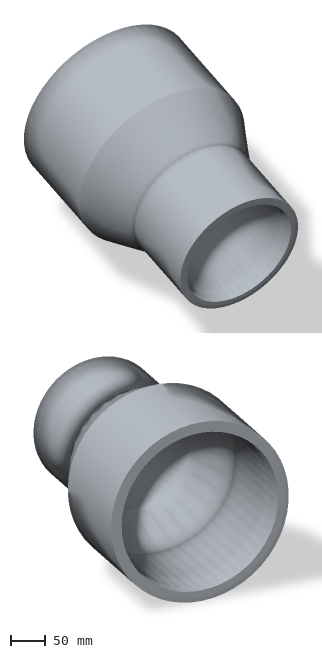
import cadquery as cq

large_diameter = 280.0
large_bore = 246.8
small_diameter = 200.0
small_bore = 176.2
total_length = 357.0
large_length = 150.0
small_length = 125.0
taper_end = total_length - small_length


def revolved_profile(large_radius, small_radius):
    """Solid of revolution: two cylinders joined by a cone."""
    return (
        cq.Workplane("XY")
        .moveTo(0, 0)
        .lineTo(0, large_radius)
        .lineTo(large_length, large_radius)
        .lineTo(taper_end, small_radius)
        .lineTo(total_length, small_radius)
        .lineTo(total_length, 0)
        .close()
        .revolve(360, (0, 0, 0), (1, 0, 0))
    )


outer_body = revolved_profile(large_diameter / 2, small_diameter / 2)
bore = revolved_profile(large_bore / 2, small_bore / 2)
result = outer_body.cut(bore)